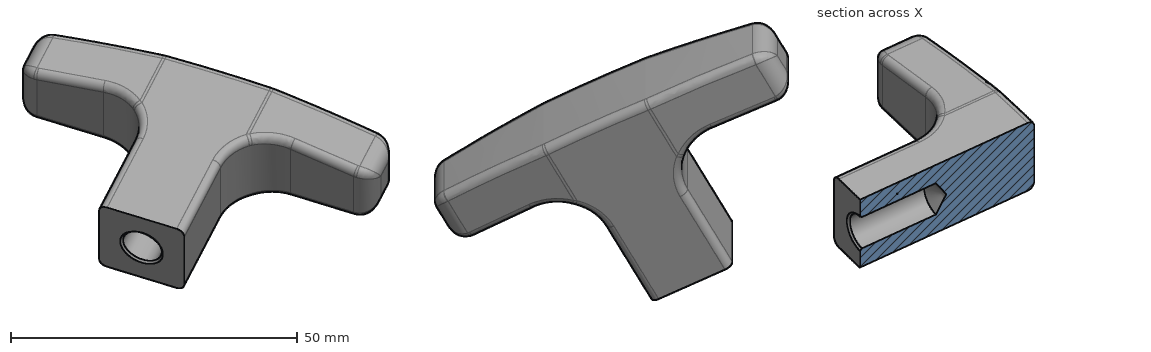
import cadquery as cq
import math

length = 67.0
height = 37.0
stem_width = 16.0
thickness = stem_width
crown_radius = 300.15

stem_length = 17.0
throat_radius = 9.0
underside_angle = math.radians(4.0)

taper_start = 10.05
taper_angle = math.radians(5.0)
taper_blend_radius = 6.0

end_radius = 3.5
edge_radius = 1.5

hole_diameter = 7.25
mouth_diameter = 8.05
hole_depth = 16.1
drill_tip_angle = math.radians(118.0)

half_length = length / 2
half_stem = stem_width / 2
half_thickness = thickness / 2


def throat_point(angle):
    """Point on the right-hand throat arc, with the angle measured from +X."""
    return (
        half_stem + throat_radius * (1 + math.cos(angle)),
        stem_length + throat_radius * math.sin(angle),
    )


def mirrored(point):
    return (-point[0], point[1])


def t_profile():
    """T-shaped outline in the XY plane, extruded to the full thickness."""
    crown_drop = crown_radius - math.sqrt(crown_radius**2 - half_length**2)
    crown_corner = (half_length, height - crown_drop)
    arc_end_angle = math.pi / 2 - underside_angle
    throat_end = throat_point(arc_end_angle)
    throat_middle = throat_point((math.pi + arc_end_angle) / 2)
    tip_drop = (half_length - throat_end[0]) * math.tan(underside_angle)
    lower_corner = (half_length, throat_end[1] - tip_drop)
    return (
        cq.Workplane("XY")
        .workplane(offset=-half_thickness)
        .moveTo(-half_stem, 0)
        .lineTo(half_stem, 0)
        .lineTo(half_stem, stem_length)
        .threePointArc(throat_middle, throat_end)
        .lineTo(*lower_corner)
        .lineTo(*crown_corner)
        .threePointArc((0, height), mirrored(crown_corner))
        .lineTo(*mirrored(lower_corner))
        .lineTo(*mirrored(throat_end))
        .threePointArc(mirrored(throat_middle), (-half_stem, stem_length))
        .close()
        .extrude(thickness)
    )


def taper_envelope():
    """Prism along Y whose thickness falls off toward both arm ends."""
    tip_half = half_thickness - (half_length - taper_start) * math.tan(taper_angle)
    setback = taper_blend_radius * math.tan(taper_angle / 2)
    flat_end = taper_start - setback
    arc_middle = (
        flat_end + taper_blend_radius * math.sin(taper_angle / 2),
        half_thickness - taper_blend_radius * (1 - math.cos(taper_angle / 2)),
    )
    arc_end = (
        taper_start + setback * math.cos(taper_angle),
        half_thickness - setback * math.sin(taper_angle),
    )
    quarter = (
        cq.Workplane("XZ")
        .lineTo(0, half_thickness)
        .lineTo(flat_end, half_thickness)
        .threePointArc(arc_middle, arc_end)
        .lineTo(half_length, tip_half)
        .lineTo(half_length, 0)
        .close()
        .extrude(-height)
    )
    upper_half = quarter.union(quarter.mirror("YZ"))
    return upper_half.union(upper_half.mirror("XY")).clean()


def hole_cutter():
    """Drilled hole with a 45-degree countersunk mouth and a conical bottom."""
    hole_radius = hole_diameter / 2
    mouth_radius = mouth_diameter / 2
    tip_length = hole_radius / math.tan(drill_tip_angle / 2)
    return (
        cq.Workplane("XY")
        .moveTo(0, 0)
        .lineTo(mouth_radius, 0)
        .lineTo(hole_radius, mouth_radius - hole_radius)
        .lineTo(hole_radius, hole_depth)
        .lineTo(0, hole_depth + tip_length)
        .close()
        .revolve(360, (0, 0, 0), (0, 1, 0))
    )


body = t_profile().intersect(taper_envelope())
body = body.faces("<X or >X").edges().fillet(end_radius)
body = body.faces("<Z or >Z").edges("%CIRCLE").fillet(edge_radius)

result = body.cut(hole_cutter())